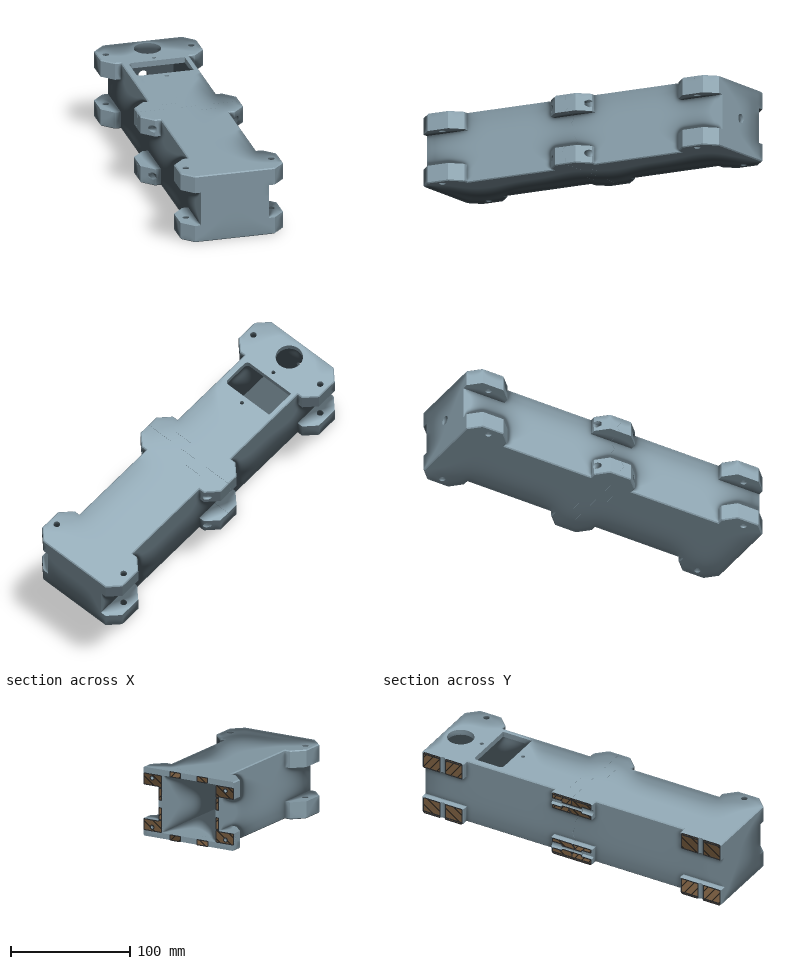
import cadquery as cq

length = 290.0
width = 89.0
height = 60.0
half_length = length / 2
half_width = width / 2
half_height = height / 2

body_width = 59.2
lobe_length = 40.0
lobe_height = 15.0
lobe_corner = 10.0

rim_thickness = 2.0
rim_chamfer = 1.0
plate_thickness = 5.0
seat_z = half_height - rim_thickness
lobe_bottom_z = half_height - lobe_height

wall = 3.0
cavity_length = length - 2 * wall
cavity_width = body_width - 2 * wall

joint_gap = 0.15
dovetail_y = 13.3
dovetail_length = 9.5
dovetail_root = 11.3
dovetail_tip = 16.2
zigzag_depth = 3.0
zigzag_pitch = 5.5

mount_hole_diameter = 5.5
mount_hole_x = half_length - lobe_length / 2
mount_hole_y = 37.0

bolt_y = 36.2
bolt_z = 21.5
bolt_shank_diameter = 3.2
bolt_head_diameter = 6.0
nut_flats = 5.8
bolt_seat_x = 10.0

cable_hole_diameter = 8.0

button_diameter = 23.0
button_x = -128.2
display_x = -88.0
display_y = 0.5
display_length = 27.8
display_width = 49.0
display_corner = 3.5
display_screw_diameter = 3.5
display_screw_spacing = 40.0

overshoot = 3.0


def slab(size_x, size_y, bottom_z, top_z):
    """Block centred on the Z axis between two heights."""
    block = cq.Workplane("XY", origin=(0, 0, bottom_z))
    return block.rect(size_x, size_y).extrude(top_z - bottom_z)


def lobed_slab(bottom_z, top_z):
    """Body-wide slab with a lobe at each end and in the middle."""
    shape = slab(length, body_width, bottom_z, top_z)
    lobe = slab(lobe_length, width, bottom_z, top_z).edges("|Z").chamfer(lobe_corner)
    for x in (-mount_hole_x, 0, mount_hole_x):
        shape = shape.union(lobe.translate((x, 0, 0)))
    return shape


def upright_holes(points, diameter):
    """Vertical cutters through the upper half of the part."""
    return cq.Workplane("XY").pushPoints(points).circle(diameter / 2).extrude(height)


def mount_holes():
    points = [(x, y) for x in (-mount_hole_x, mount_hole_x) for y in (-mount_hole_y, mount_hole_y)]
    return upright_holes(points, mount_hole_diameter)


def turned_over(body):
    """Move an upper body to the opposite lower place by half a turn about Y."""
    return body.rotate((0, 0, 0), (0, 1, 0), 180)


def plate_side(end_x, face_x):
    """Region from end_x up to a joint face with one tongue and one socket, both dovetailed."""
    points = [(end_x, -half_width - overshoot), (face_x, -half_width - overshoot)]
    flank_slope = (dovetail_tip - dovetail_root) / (2 * dovetail_length)
    for y, direction in ((-dovetail_y, -1), (dovetail_y, 1)):
        root_half = dovetail_root / 2 + direction * flank_slope * face_x
        tip_half = root_half + flank_slope * dovetail_length
        tip_x = face_x + direction * dovetail_length
        points += [
            (face_x, y - root_half),
            (tip_x, y - tip_half),
            (tip_x, y + tip_half),
            (face_x, y + root_half),
        ]
    points += [(face_x, half_width + overshoot), (end_x, half_width + overshoot)]
    return cq.Workplane("XY").polyline(points).close().extrude(height)


def housing_side(end_x, face_x):
    """Region from end_x up to a joint face with one ridge and one groove along Y."""
    middle_z = seat_z / 2
    points = [
        (end_x, -overshoot),
        (face_x, -overshoot),
        (face_x, middle_z - 2 * zigzag_pitch),
        (face_x + zigzag_depth, middle_z - zigzag_pitch),
        (face_x - zigzag_depth, middle_z + zigzag_pitch),
        (face_x, middle_z + 2 * zigzag_pitch),
        (face_x, height),
        (end_x, height),
    ]
    return cq.Workplane("XZ").polyline(points).close().extrude(width, both=True)


def cut_bolt_holes(shape):
    """Bolt shanks through the middle lobes, a nut pocket on -X and a head recess on +X."""
    for y in (-bolt_y, bolt_y):
        shank = cq.Workplane("YZ", origin=(0, y, bolt_z)).circle(bolt_shank_diameter / 2)
        head = cq.Workplane("YZ", origin=(bolt_seat_x, y, bolt_z)).circle(bolt_head_diameter / 2)
        nut = cq.Workplane("YZ", origin=(-bolt_seat_x, y, bolt_z))
        nut = nut.polygon(6, nut_flats, circumscribed=True)
        shape = shape.cut(shank.extrude(lobe_length / 2, both=True))
        shape = shape.cut(head.extrude(lobe_length / 2))
        shape = shape.cut(nut.extrude(-lobe_length / 2))
    return shape


def full_plate():
    """Upper cover plate over the whole length, before it is split in two."""
    rim = lobed_slab(seat_z, half_height).faces(">Z").chamfer(rim_chamfer)
    plug = slab(cavity_length, cavity_width, half_height - plate_thickness, seat_z)
    return rim.union(plug).cut(mount_holes())


def full_housing():
    """Upper housing over the whole length: a frame without floor or roof, with lobes."""
    shape = lobed_slab(lobe_bottom_z, seat_z).union(slab(length, body_width, 0, seat_z))
    shape = shape.cut(slab(cavity_length, cavity_width, 0, seat_z))
    return cut_bolt_holes(shape.cut(mount_holes()))


def cut_control_openings(plate):
    """Round button hole, and a display window between its two screw holes."""
    button = upright_holes([(button_x, 0)], button_diameter)
    screw_points = [(display_x + side * display_screw_spacing / 2, 0) for side in (-1, 1)]
    screws = upright_holes(screw_points, display_screw_diameter)
    window = slab(display_length, display_width, 0, height).edges("|Z and <Y").fillet(display_corner)
    window = window.translate((display_x, display_y, 0))
    return plate.cut(button).cut(screws).cut(window)


def cut_cable_hole(housing):
    hole = cq.Workplane("YZ", origin=(-half_length, 0, 0)).circle(cable_hole_diameter / 2)
    return housing.cut(hole.extrude(wall))


left_end = -half_length - overshoot
right_end = half_length + overshoot
left_face = -joint_gap / 2
right_face = joint_gap / 2

left_plate = full_plate().intersect(plate_side(left_end, left_face))
right_plate = full_plate().intersect(plate_side(right_end, right_face))
left_housing = full_housing().intersect(housing_side(left_end, left_face))
right_housing = full_housing().intersect(housing_side(right_end, right_face))

control_plate = cut_control_openings(left_plate)
plates = [control_plate, right_plate, turned_over(left_plate), turned_over(right_plate)]
housings = [
    cut_cable_hole(left_housing),
    right_housing,
    turned_over(left_housing),
    cut_cable_hole(turned_over(right_housing)),
]

result = cq.Compound.makeCompound([body.val() for body in plates + housings])